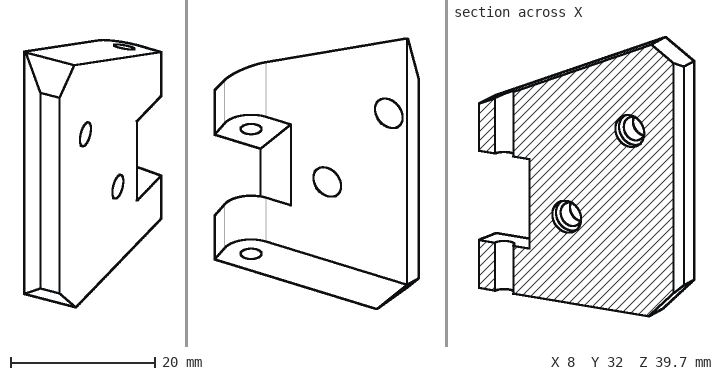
import cadquery as cq
import math

thickness = 8.0
length = 32.0
height = 39.65

apex_y = 4.55
nose_top_z = 36.83
top_slope = math.radians(25)
bevel = 5.05
back_z = height - (length - apex_y) * math.tan(top_slope)

barrel_radius = thickness / 2
barrel_y = length - barrel_radius
barrel_taper = math.radians(8)
pin_diameter = 2.9
slot_depth = 8.0
slot_bottom = 7.0
slot_top = 19.95

screw_centers = [(8.0, 26.5), (18.05, 12.53)]
screw_diameter = 3.4
bore_diameter = 4.5
bore_depth = 5.0
bore_tip_angle = 118


def side_body():
    """Side outline with the sloped top and bevelled nose."""
    outline = [
        (bevel, 0),
        (length, 0),
        (length, back_z),
        (apex_y, height),
        (0, nose_top_z),
        (0, bevel),
    ]
    return cq.Workplane("YZ").polyline(outline).close().extrude(thickness)


def plan_body():
    """Plan outline: bevelled nose, rounded hinge end, tangent taper to the +X side."""
    quarter = math.sqrt(0.5) * barrel_radius
    tangent_x = barrel_radius * (1 + math.sin(barrel_taper))
    tangent_y = barrel_y + barrel_radius * math.cos(barrel_taper)
    end_y = tangent_y - (thickness - tangent_x) * math.tan(barrel_taper)
    return (
        cq.Workplane("XY")
        .moveTo(bevel, 0)
        .lineTo(thickness, 0)
        .lineTo(thickness, end_y)
        .lineTo(tangent_x, tangent_y)
        .threePointArc((barrel_radius - quarter, barrel_y + quarter), (0, barrel_y))
        .lineTo(0, bevel)
        .close()
        .extrude(height)
    )


def hinge_slot():
    """Gap between the two hinge knuckles."""
    slot_height = slot_top - slot_bottom
    slot = cq.Workplane("XY").box(thickness, slot_depth, slot_height, centered=False)
    return slot.translate((0, length - slot_depth, slot_bottom))


def pin_hole():
    """Hinge pin hole running through both knuckles."""
    return (
        cq.Workplane("XY")
        .center(barrel_radius, barrel_y)
        .circle(pin_diameter / 2)
        .extrude(height)
    )


def screw_hole(y, z):
    """Through hole with a wide cone-bottomed bore entering from the -X face."""
    bore_radius = bore_diameter / 2
    shank_radius = screw_diameter / 2
    cone_depth = (bore_radius - shank_radius) / math.tan(math.radians(bore_tip_angle / 2))
    profile = [
        (0, 0),
        (0, bore_radius),
        (bore_depth, bore_radius),
        (bore_depth + cone_depth, shank_radius),
        (thickness, shank_radius),
        (thickness, 0),
    ]
    cutter = cq.Workplane("XY").polyline(profile).close().revolve(360, (0, 0), (1, 0))
    return cutter.translate((0, y, z))


result = side_body().intersect(plan_body()).cut(hinge_slot()).cut(pin_hole())
for center_y, center_z in screw_centers:
    result = result.cut(screw_hole(center_y, center_z))